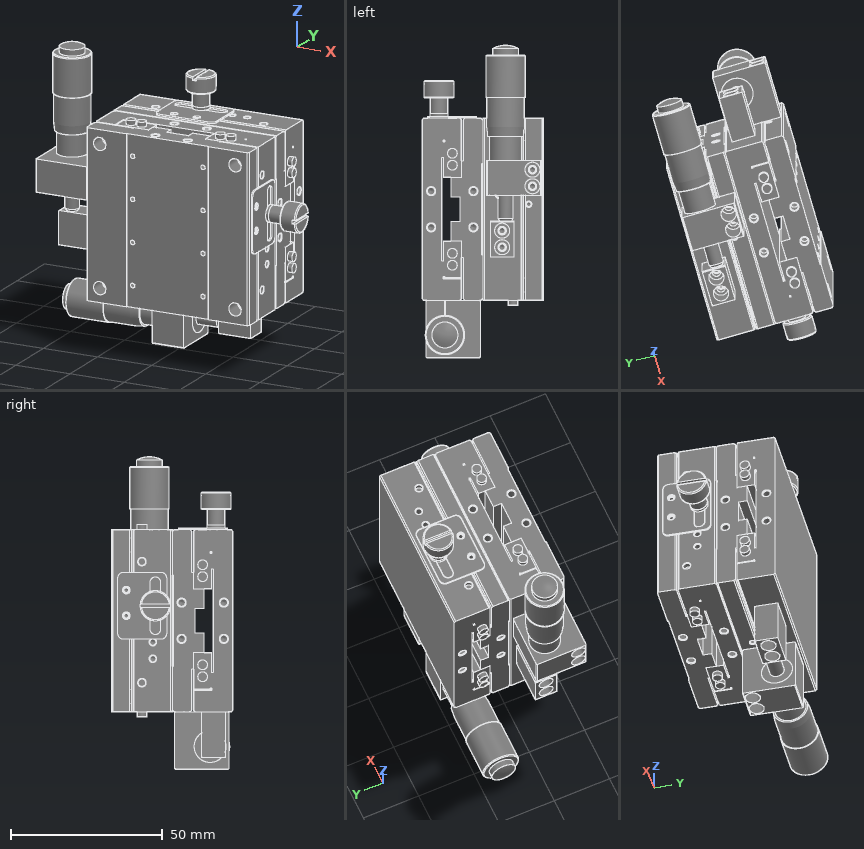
import cadquery as cq
import math


STAGE_SIZE = 60.0
STAGE_DEPTH = 20.0
HALF = STAGE_SIZE / 2
EDGE_CHAMFER = 0.5

WING_TOP = 6.5
SEAT_TOP = 7.0
SEAT_WIDTH = 32
BOSS_TOP = 10.5
BOSS_WIDTH = 21.0
NOTCH_FLOOR = 7.5
NOTCH_WIDTH = 8.0
FACE_RECESS_WIDTH = 30.0
FACE_RECESS_DEPTH = 0.3

UNDERCUT_FLOOR = 13.0
CHANNEL_TOP = 13.5
UNDERCUT_WIDTH = 34
GUIDE_LIP_CHAMFER = 0.4
RAIL_RELIEF = 0.4
RAIL_EDGE_X = 22.5
GIB_SLIT_X = -22.7
GIB_SLIT_WIDTH = 0.3

PIN_DIAMETER = 3.2
PIN_LENGTH = 1.7
PIN_Y = 10.0
PIN_OFFSETS = (14.5, 18.5)

TIP_ANGLE = 118
MOUNT_HOLE_DIAMETER = 4.5
MOUNT_HOLE_SPACING = 50.0
DOWEL_DIAMETER = 1.5
DOWEL_DEPTH = 3.1
DOWEL_PITCH = 15.0
DOWEL_ROWS = (-1.5, -0.5, 0.5, 1.5)
DOWEL_COLUMN_SPACING = 26.0
THREAD_BORE = 2.5
THREAD_MOUTH = 3.0
THREAD_DEPTH = 6.0
END_HOLE_SPACING = 12.0
CARRIAGE_END_HOLE_Y = 3.1
GUIDE_END_HOLE_Y = 17.0
SIDE_HOLE_DIAMETER = 1.5
SIDE_HOLE_MOUTH = 2.1
PLATE_HOLE_DIAMETER = 2.5
SIDE_HOLE_DEPTH = 4.1
SIDE_HOLE_Y = 4.8
SIDE_HOLE_Z = (1.7, 10.1)
SET_SCREW_DIAMETER = 2.5
SET_SCREW_MOUTH = 2.8
SET_SCREW_DEPTH = 2.1
SET_SCREW_Z = (-20.4, 19.5)
BLOCK_CLEARANCE_DIAMETER = 2.8
BLOCK_SCREW_DIAMETER = 2.1
BLOCK_SCREW_MOUTH = 2.5
BLOCK_SCREW_DEPTH = 5.2
BLOCK_SCREW_PITCH = 5.5
COUNTERBORE_DIAMETER = 5.0
SCREW_GRIP = 5.0

BRACKET_LENGTH = 19.0
BRACKET_Y = 0.7
BRACKET_WIDTH = 18.0
BRACKET_BOTTOM = 4.5
BRACKET_HEIGHT = 11.6
BRACKET_CHAMFER = 0.3
BRACKET_SCREW_Y = 3.6
CLAMP_SLIT_WIDTH = 0.4

ANVIL_LENGTH = 15.2
ANVIL_Y = 9.7
ANVIL_WIDTH = 7.8
ANVIL_TOP = -3.8
ANVIL_HEIGHT = 12.0
ANVIL_CHAMFER = 0.3
ANVIL_SCREW_Y = 13.6

MIC_X = -41.5
MIC_Y = 12.5
SPINDLE_DIAMETER = 5.0
TIP_DIAMETER = 4.0
TIP_LENGTH = 0.8
SLEEVE_DIAMETER = 10.5
COLLAR_DIAMETER = 11.8
COLLAR_BOTTOM = 23.9
BARREL_DIAMETER = 12.5
BARREL_BOTTOM = 27.0
THIMBLE_DIAMETER = 13.0
THIMBLE_BOTTOM = 36.9
THIMBLE_TOP = 50.8
THIMBLE_CHAMFER = 0.3
CAP_DIAMETER = 8.6
CAP_SHOULDER = 53.0
CAP_TOP = 54.1

PLATE_THICKNESS = 0.5
PLATE_LENGTH = 22.1
PLATE_WIDTH = 16.2
PLATE_CENTER_Y = 10.1
PLATE_CENTER_Z = 5.0
PLATE_CORNER_RADIUS = 2.0
SLOT_LENGTH = 19.0
SLOT_WIDTH = 3.5

KNOB_Y = 14.4
KNOB_Z = 5.0
KNOB_DIAMETER = 10.0
KNOB_BOTTOM = 36.6
KNOB_TOP = 42.5
KNOB_CHAMFER = 0.4
SHANK_DIAMETER = 5.9
KNOB_FOOT_DIAMETER = 6.0
KNOB_FOOT_TOP = 31.6
THREAD_DIAMETER = 3.0
DRIVER_SLOT_WIDTH = 1.2
DRIVER_SLOT_DEPTH = 1.1


def box(x, y, z, length, width, height):
    """Box with its lowest corner at (x, y, z)."""
    return cq.Workplane("XY").box(length, width, height, centered=False).translate((x, y, z))


def tall_box(width, y_low, y_high):
    """Box centred on X = 0 that runs the full stage height."""
    return box(-width / 2, y_low, -HALF, width, y_high - y_low, STAGE_SIZE)


def cylinder(diameter, start, direction, length):
    return cq.Workplane(obj=cq.Solid.makeCylinder(
        diameter / 2, length, cq.Vector(*start), cq.Vector(*direction)))


def countersink(mouth, diameter, start, direction):
    """45 degree cone cutter that narrows a hole from its mouth to its diameter."""
    return cq.Workplane(obj=cq.Solid.makeCone(
        mouth / 2, diameter / 2, (mouth - diameter) / 2, cq.Vector(*start), cq.Vector(*direction)))


def drill(mouth, diameter, start, direction, depth):
    """Blind hole cutter with a countersunk mouth and a conical tip."""
    radius = diameter / 2
    tip = radius / math.tan(math.radians(TIP_ANGLE / 2))
    tip_start = cq.Vector(*start) + cq.Vector(*direction) * depth
    cone = cq.Solid.makeCone(radius, 0, tip, tip_start, cq.Vector(*direction))
    hole = cylinder(diameter, start, direction, depth).union(cq.Workplane(obj=cone))
    return hole.union(countersink(mouth, diameter, start, direction))


def end_holes(body, y):
    """Pair of blind holes in the top and bottom ends."""
    for side in (-1, 1):
        for x in (-END_HOLE_SPACING / 2, END_HOLE_SPACING / 2):
            start = (x, y, side * HALF)
            body = body.cut(drill(THREAD_MOUTH, THREAD_BORE, start, (0, 0, -side), THREAD_DEPTH))
    return body


def block_screw_hole(y, z, side):
    """Cutter for one threaded hole in the left (-1) or right (1) side."""
    start = (side * HALF, y, z)
    return drill(BLOCK_SCREW_MOUTH, BLOCK_SCREW_DIAMETER, start, (-side, 0, 0), BLOCK_SCREW_DEPTH)


def block_screw_holes(body, length, y, middle_z):
    """Two counterbored screw holes through a side block into the body behind it."""
    for z in (middle_z - BLOCK_SCREW_PITCH / 2, middle_z + BLOCK_SCREW_PITCH / 2):
        start = (-HALF - length, y, z)
        body = body.cut(cylinder(COUNTERBORE_DIAMETER, start, (1, 0, 0), length - SCREW_GRIP))
        body = body.cut(cylinder(BLOCK_CLEARANCE_DIAMETER, start, (1, 0, 0), length))
        body = body.cut(block_screw_hole(y, z, -1))
    return body


def make_bracket():
    bracket = box(-HALF - BRACKET_LENGTH, BRACKET_Y, BRACKET_BOTTOM,
                  BRACKET_LENGTH, BRACKET_WIDTH, BRACKET_HEIGHT)
    bracket = bracket.edges("|Z").chamfer(BRACKET_CHAMFER)
    bore = cylinder(SLEEVE_DIAMETER, (MIC_X, MIC_Y, BRACKET_BOTTOM), (0, 0, 1), BRACKET_HEIGHT)
    slit = box(MIC_X, MIC_Y - CLAMP_SLIT_WIDTH / 2, BRACKET_BOTTOM,
               -HALF - MIC_X, CLAMP_SLIT_WIDTH, BRACKET_HEIGHT)
    return bracket.cut(bore).cut(slit)


def make_clamp_plate():
    plate = box(HALF, PLATE_CENTER_Y - PLATE_WIDTH / 2, PLATE_CENTER_Z - PLATE_LENGTH / 2,
                PLATE_THICKNESS, PLATE_WIDTH, PLATE_LENGTH)
    plate = plate.edges("|X").fillet(PLATE_CORNER_RADIUS)
    slot = (cq.Workplane("YZ", origin=(HALF, KNOB_Y, KNOB_Z))
            .slot2D(SLOT_LENGTH, SLOT_WIDTH, 90).extrude(PLATE_THICKNESS))
    return plate.cut(slot)


def side_hole(z, side):
    """Cutter for one small threaded hole in the left (-1) or right (1) side of the carriage."""
    start = (side * HALF, SIDE_HOLE_Y, z)
    return drill(SIDE_HOLE_MOUTH, SIDE_HOLE_DIAMETER, start, (-side, 0, 0), SIDE_HOLE_DEPTH)


def make_carriage():
    wings = tall_box(STAGE_SIZE, 0, WING_TOP).edges("|Z").chamfer(EDGE_CHAMFER)
    carriage = (wings.union(tall_box(SEAT_WIDTH, 0, SEAT_TOP))
                .union(tall_box(BOSS_WIDTH, 0, BOSS_TOP))
                .cut(tall_box(NOTCH_WIDTH, NOTCH_FLOOR, BOSS_TOP))
                .cut(tall_box(FACE_RECESS_WIDTH, 0, FACE_RECESS_DEPTH)))
    for x in (-MOUNT_HOLE_SPACING / 2, MOUNT_HOLE_SPACING / 2):
        for z in (-MOUNT_HOLE_SPACING / 2, MOUNT_HOLE_SPACING / 2):
            carriage = carriage.cut(cylinder(MOUNT_HOLE_DIAMETER, (x, 0, z), (0, 1, 0), WING_TOP))
    for x in (-DOWEL_COLUMN_SPACING / 2, DOWEL_COLUMN_SPACING / 2):
        for row in DOWEL_ROWS:
            start = (x, 0, row * DOWEL_PITCH)
            carriage = carriage.cut(cylinder(DOWEL_DIAMETER, start, (0, 1, 0), DOWEL_DEPTH))
    carriage = end_holes(carriage, CARRIAGE_END_HOLE_Y)
    carriage = carriage.union(make_bracket()).union(make_clamp_plate())
    bracket_middle = BRACKET_BOTTOM + BRACKET_HEIGHT / 2
    carriage = block_screw_holes(carriage, BRACKET_LENGTH, BRACKET_SCREW_Y, bracket_middle)
    for z in SIDE_HOLE_Z:
        plate_hole = cylinder(PLATE_HOLE_DIAMETER, (HALF, SIDE_HOLE_Y, z), (1, 0, 0), PLATE_THICKNESS)
        carriage = carriage.cut(plate_hole).cut(side_hole(z, 1))
    return carriage.cut(side_hole(SIDE_HOLE_Z[0], -1))


def make_knob():
    """Slotted knob with its shank on the clamp plate and its thread through the slot."""
    center = (KNOB_Y, KNOB_Z)
    axis_start = HALF + PLATE_THICKNESS
    head = cylinder(KNOB_DIAMETER, (KNOB_BOTTOM, *center), (1, 0, 0), KNOB_TOP - KNOB_BOTTOM)
    head = head.edges().chamfer(KNOB_CHAMFER)
    driver_slot = box(KNOB_TOP - DRIVER_SLOT_DEPTH, KNOB_Y - KNOB_DIAMETER / 2,
                      KNOB_Z - DRIVER_SLOT_WIDTH / 2, DRIVER_SLOT_DEPTH, KNOB_DIAMETER, DRIVER_SLOT_WIDTH)
    foot = cylinder(KNOB_FOOT_DIAMETER, (axis_start, *center), (1, 0, 0), KNOB_FOOT_TOP - axis_start)
    shank = cylinder(SHANK_DIAMETER, (axis_start, *center), (1, 0, 0), KNOB_BOTTOM - axis_start)
    thread = cylinder(THREAD_DIAMETER, (HALF, *center), (1, 0, 0), PLATE_THICKNESS)
    return head.cut(driver_slot).union(shank).union(foot).union(thread)


def make_guide_section():
    """Channel with the rails, the undercut above them and the gib slit beside one rail."""
    guide = tall_box(STAGE_SIZE, SEAT_TOP, STAGE_DEPTH)
    guide = guide.faces(">Y").edges("|Z").chamfer(EDGE_CHAMFER)
    guide = guide.faces("<Y").edges("|Z").chamfer(GUIDE_LIP_CHAMFER)
    gib_slit = tall_box(GIB_SLIT_WIDTH, SEAT_TOP, UNDERCUT_FLOOR).translate((GIB_SLIT_X, 0, 0))
    guide = (guide.cut(tall_box(BOSS_WIDTH, SEAT_TOP, CHANNEL_TOP))
             .cut(tall_box(UNDERCUT_WIDTH, UNDERCUT_FLOOR, CHANNEL_TOP))
             .cut(gib_slit))
    relief = tall_box(RAIL_RELIEF, UNDERCUT_FLOOR - RAIL_RELIEF, UNDERCUT_FLOOR)
    for x in (-RAIL_EDGE_X, RAIL_EDGE_X):
        guide = guide.cut(relief.translate((x, 0, 0)))
    return guide


def add_rail_pins(guide):
    for end in (-1, 1):
        for side in (-1, 1):
            for offset in PIN_OFFSETS:
                start = (side * offset, PIN_Y, end * HALF)
                guide = guide.union(cylinder(PIN_DIAMETER, start, (0, 0, end), PIN_LENGTH))
    return guide


def make_anvil():
    anvil = box(-HALF - ANVIL_LENGTH, ANVIL_Y, ANVIL_TOP - ANVIL_HEIGHT,
                ANVIL_LENGTH, ANVIL_WIDTH, ANVIL_HEIGHT)
    return anvil.faces("<X").edges(">Z").chamfer(ANVIL_CHAMFER)


def right_side_holes(guide, anvil_middle):
    """Threaded holes mirrored from the anvil screws, and the set screw holes of the gib."""
    for z in (anvil_middle - BLOCK_SCREW_PITCH / 2, anvil_middle + BLOCK_SCREW_PITCH / 2):
        guide = guide.cut(block_screw_hole(ANVIL_SCREW_Y, z, 1))
    for z in SET_SCREW_Z:
        start = (HALF, PIN_Y, z)
        guide = guide.cut(cylinder(SET_SCREW_DIAMETER, start, (-1, 0, 0), SET_SCREW_DEPTH))
        guide = guide.cut(countersink(SET_SCREW_MOUTH, SET_SCREW_DIAMETER, start, (-1, 0, 0)))
    return guide


def make_guide():
    anvil_middle = ANVIL_TOP - ANVIL_HEIGHT / 2
    guide = end_holes(make_guide_section(), GUIDE_END_HOLE_Y)
    guide = add_rail_pins(guide).union(make_anvil())
    guide = block_screw_holes(guide, ANVIL_LENGTH, ANVIL_SCREW_Y, anvil_middle)
    guide = right_side_holes(guide, anvil_middle)
    spare_start = (-HALF, KNOB_Y, KNOB_Z)
    spare_hole = drill(THREAD_MOUTH, THREAD_BORE, spare_start, (1, 0, 0), THREAD_DEPTH)
    return guide.cut(spare_hole).union(make_knob())


def make_micrometer():
    """Turned body from the spindle tip on the anvil up to the domed cap."""
    cap_radius = CAP_DIAMETER / 2
    dome_height = CAP_TOP - CAP_SHOULDER
    dome_radius = (cap_radius**2 + dome_height**2) / (2 * dome_height)
    mid_radius = cap_radius / 2
    mid_height = CAP_TOP - dome_radius + math.sqrt(dome_radius**2 - mid_radius**2)
    thimble_radius = THIMBLE_DIAMETER / 2
    profile = (
        cq.Workplane("XZ")
        .moveTo(0, ANVIL_TOP)
        .lineTo(TIP_DIAMETER / 2, ANVIL_TOP)
        .lineTo(SPINDLE_DIAMETER / 2, ANVIL_TOP + TIP_LENGTH)
        .lineTo(SPINDLE_DIAMETER / 2, BRACKET_BOTTOM)
        .lineTo(SLEEVE_DIAMETER / 2, BRACKET_BOTTOM)
        .lineTo(SLEEVE_DIAMETER / 2, COLLAR_BOTTOM)
        .lineTo(COLLAR_DIAMETER / 2, COLLAR_BOTTOM)
        .lineTo(BARREL_DIAMETER / 2, BARREL_BOTTOM)
        .lineTo(BARREL_DIAMETER / 2, THIMBLE_BOTTOM)
        .lineTo(thimble_radius, THIMBLE_BOTTOM)
        .lineTo(thimble_radius, THIMBLE_TOP - THIMBLE_CHAMFER)
        .lineTo(thimble_radius - THIMBLE_CHAMFER, THIMBLE_TOP)
        .lineTo(cap_radius, THIMBLE_TOP)
        .lineTo(cap_radius, CAP_SHOULDER)
        .threePointArc((mid_radius, mid_height), (0, CAP_TOP))
        .close()
    )
    return profile.revolve(360, (0, 0, 0), (0, 1, 0)).translate((MIC_X, MIC_Y, 0))


def to_rear_stage(body):
    """Turn a stage body a quarter turn about Y and move it behind the front stage."""
    return body.rotate((0, 0, 0), (0, 1, 0), -90).translate((0, STAGE_DEPTH, 0))


stage_bodies = [make_carriage(), make_guide(), make_micrometer()]
front_solids = [body.val() for body in stage_bodies]
rear_solids = [to_rear_stage(body).val() for body in stage_bodies]
result = cq.Compound.makeCompound([*front_solids, *rear_solids])